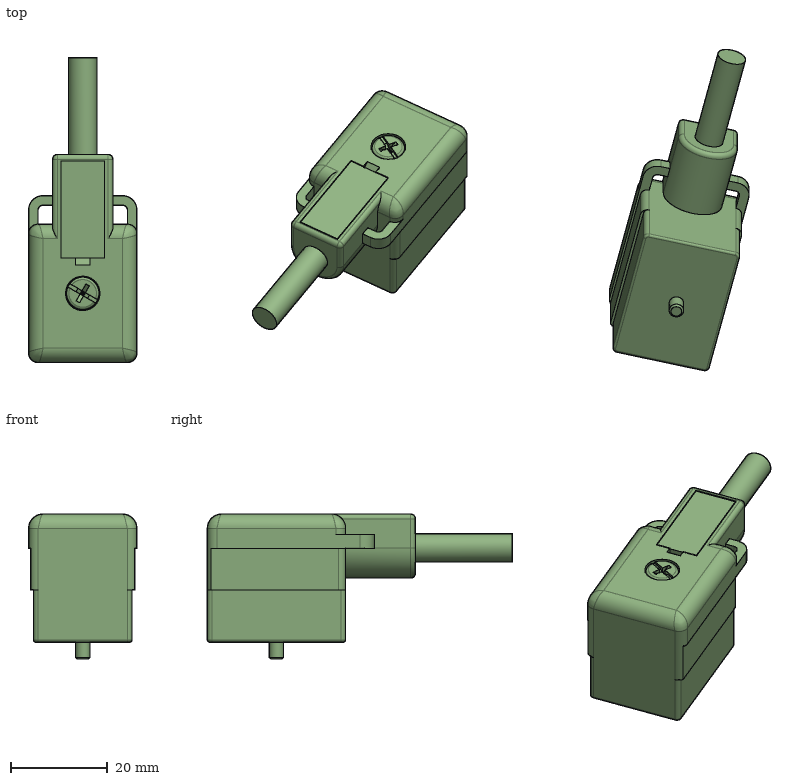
import cadquery as cq


height = 26.5
length = 28.6
top_width = 22.4
middle_width = 21.5
bottom_width = 20.4
ledge_z = height - 7.1
step_z = height - 15.7
top_corner_radius = 2.0
middle_rear_radius = 1.5
bottom_corner_radius = 1.0
top_edge_radius = 3.0
bottom_edge_radius = 0.5
rear_y = length / 2

outlet_width = 12.5
outlet_radius = outlet_width / 2
outlet_length = 14.4
outlet_edge_radius = 1.0
outlet_end_y = rear_y + outlet_length
outlet_root_y = rear_y - top_edge_radius
outlet_overlap = 2.0
cable_diameter = 5.9
cable_length = 20.0
outlet_axis_z = height - 7.0

lug_reach = 5.9
lug_thickness = 2.9
lug_rim = 2.0
lug_outer_radius = 3.0
lug_inner_radius = 1.0

label_width = 9.0
label_length = 20.0
label_depth = 0.2
label_end_margin = 1.35
label_front_y = outlet_end_y - label_end_margin - label_length
notch_width = 3.0
notch_length = 1.5
notch_depth = 1.3

head_diameter = 6.7
head_clearance = 0.2
head_height = 3.0
head_edge_radius = 0.5
shank_diameter = 3.0
tip_protrusion = 3.5
tip_chamfer = 0.4
drive_angle = -30.0
slot_width = 0.8
slot_depth = 0.5
cross_radius = 2.0
cross_depth = 1.6


def block(width, bottom, top):
    """Plain block over the full housing length, between two heights."""
    return (
        cq.Workplane("XY", origin=(0, 0, bottom))
        .rect(width, length)
        .extrude(top - bottom)
    )


def make_top_block():
    rounded = block(top_width, ledge_z, height).edges("|Z").fillet(top_corner_radius)
    return rounded.faces(">Z").edges().fillet(top_edge_radius)


def make_middle_block():
    """Narrower block whose front corners follow the rounding of the top block."""
    rounded = block(top_width, step_z, ledge_z).edges("|Z and <Y").fillet(top_corner_radius)
    trimmed = rounded.intersect(block(middle_width, step_z, ledge_z))
    return trimmed.edges("|Z and >Y").fillet(middle_rear_radius)


def make_bottom_block():
    rounded = block(bottom_width, 0, step_z).edges("|Z").fillet(bottom_corner_radius)
    return rounded.faces("<Z").edges().fillet(bottom_edge_radius)


def make_outlet():
    """D-shaped outlet: flat top and sides over a half-round underside."""
    total_length = outlet_end_y - outlet_root_y + outlet_overlap
    outlet = (
        cq.Workplane("XZ", origin=(0, outlet_end_y, 0))
        .moveTo(-outlet_radius, height)
        .lineTo(outlet_radius, height)
        .lineTo(outlet_radius, outlet_axis_z)
        .threePointArc((0, outlet_axis_z - outlet_radius), (-outlet_radius, outlet_axis_z))
        .close()
        .extrude(total_length)
    )
    outlet = outlet.edges("|Y and >Z").fillet(outlet_edge_radius)
    return outlet.faces(">Y").edges().fillet(outlet_edge_radius)


def make_cable():
    return (
        cq.Workplane("XZ", origin=(0, outlet_end_y + cable_length, outlet_axis_z))
        .circle(cable_diameter / 2)
        .extrude(cable_length + outlet_overlap)
    )


def make_lug():
    lug_end_y = rear_y + lug_reach
    root_y = rear_y - top_corner_radius
    plate = (
        cq.Workplane("XY", origin=(0, (root_y + lug_end_y) / 2, ledge_z))
        .rect(top_width, lug_end_y - root_y)
        .extrude(lug_thickness)
        .edges("|Z and >Y")
        .fillet(lug_outer_radius)
    )
    window_length = lug_reach - lug_rim
    window = (
        cq.Workplane("XY", origin=(0, rear_y + window_length / 2, ledge_z))
        .rect(top_width - 2 * lug_rim, window_length)
        .extrude(lug_thickness)
        .edges("|Z and >Y")
        .fillet(lug_inner_radius)
    )
    return plate.cut(window)


def make_label_recess():
    return (
        cq.Workplane("XY", origin=(0, label_front_y + label_length / 2, height - label_depth))
        .rect(label_width, label_length)
        .extrude(label_depth)
    )


def make_pry_notch():
    """Ramp that starts at the top face and deepens towards the label recess."""
    return (
        cq.Workplane("YZ", origin=(-notch_width / 2, 0, 0))
        .moveTo(label_front_y - notch_length, height)
        .lineTo(label_front_y, height)
        .lineTo(label_front_y, height - notch_depth)
        .close()
        .extrude(notch_width)
    )


def make_stepped_cylinder(head_radius):
    """Head and shank in one plain shape, used for both the screw and its hole."""
    head = (
        cq.Workplane("XY", origin=(0, 0, height - head_height))
        .circle(head_radius)
        .extrude(head_height)
    )
    shank = (
        cq.Workplane("XY", origin=(0, 0, -tip_protrusion))
        .circle(shank_diameter / 2)
        .extrude(height - head_height + tip_protrusion)
    )
    return head.union(shank)


def make_drive_recess():
    """Straight slot across the head, crossed by two wings that slope to a point below."""
    slot = (
        cq.Workplane("XY", origin=(0, 0, height - slot_depth))
        .rect(head_diameter, slot_width)
        .extrude(slot_depth)
    )
    wing = (
        cq.Workplane("XZ", origin=(0, slot_width / 2, 0))
        .moveTo(-cross_radius, height)
        .lineTo(cross_radius, height)
        .lineTo(0, height - cross_depth)
        .close()
        .extrude(slot_width)
    )
    axis_end = (0, 0, 1)
    recess = slot
    for angle in (0, 90):
        recess = recess.union(wing.rotate((0, 0, 0), axis_end, angle))
    return recess.rotate((0, 0, 0), axis_end, drive_angle)


def make_housing():
    housing = make_top_block()
    for part in (make_middle_block(), make_bottom_block(), make_lug(), make_outlet(), make_cable()):
        housing = housing.union(part)
    screw_hole = make_stepped_cylinder(head_diameter / 2 + head_clearance)
    for cutter in (make_label_recess(), make_pry_notch(), screw_hole):
        housing = housing.cut(cutter)
    return housing


def make_screw():
    screw = make_stepped_cylinder(head_diameter / 2)
    screw = screw.faces(">Z").edges().fillet(head_edge_radius)
    screw = screw.faces("<Z").edges().chamfer(tip_chamfer)
    return screw.cut(make_drive_recess())


housing = make_housing()
screw = make_screw()

result = cq.Compound.makeCompound([housing.val(), screw.val()])